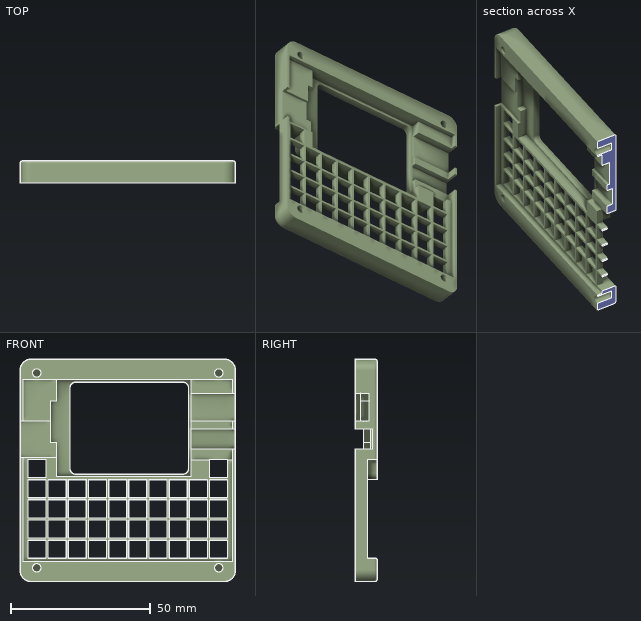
import cadquery as cq


WIDTH = 77.4
DEPTH = 8.0
HEIGHT = 80.0
CORNER_RADIUS = 4.0
REAR_FILLET = 1.0
SIDE_WALL = 1.0
HALF_WIDTH = WIDTH / 2
INNER_X = HALF_WIDTH - SIDE_WALL

RECESS_TOP = 32.65
RECESS_DEPTH = 2.0

SCREW_DIAMETER = 3.0
SCREW_X = 32.7
SCREW_Z = 35.0
SCREW_DEPTH = 6.0

KEY_SIZE = 6.4
KEY_PITCH = 7.25
KEY_COLUMNS = 10
FULL_KEY_ROWS = 4
KEYS_LEFT = -(KEY_SIZE + (KEY_COLUMNS - 1) * KEY_PITCH) / 2
KEYS_BOTTOM = -31.53
KEYS_TOP = KEYS_BOTTOM + FULL_KEY_ROWS * KEY_PITCH + KEY_SIZE

PLATE_BACK = 4.5
SURROUND_HALF_WIDTH = 29.0
SURROUND_BOTTOM = -3.3
SURROUND_RADIUS = 2.0
LIP_RADIUS = 0.75

DISPLAY_LEFT = -25.6
DISPLAY_RIGHT = 22.7
DISPLAY_BOTTOM = -2.2
DISPLAY_DEPTH = 5.5
CABLE_NOTCH_LEFT = -27.75
CABLE_NOTCH_BOTTOM = 10.0
CABLE_NOTCH_TOP = 25.0
WINDOW_LEFT = -20.7
WINDOW_BOTTOM = -1.35
WINDOW_WIDTH = 42.5
WINDOW_HEIGHT = 33.0
WINDOW_RADIUS = 2.0

LEFT_PORT_BOTTOM = 4.55
LEFT_PORT_TOP = 17.7
LEFT_PORT_DEPTH = 3.0

UPPER_PORT_BOTTOM = 17.7
UPPER_PORT_TOP = 27.65
UPPER_PORT_DEPTH = 5.0
LOWER_PORT_BOTTOM = 7.7
LOWER_PORT_TOP = 14.8
LOWER_PORT_DEPTH = 6.3
SHELF_BOTTOM = 3.65
SHELF_DEPTH = 4.0


def block(x_range, y_range, z_range):
    """Box between the given limits along each axis."""
    x0, x1 = x_range
    y0, y1 = y_range
    z0, z1 = z_range
    return cq.Workplane("XY").box(x1 - x0, y1 - y0, z1 - z0, centered=False).translate((x0, y0, z0))


def front_pocket(x_range, z_range, depth):
    """Box that cuts from the front face to the given depth."""
    return block(x_range, (0, depth), z_range)


def outer_shell():
    """Plain block with rounded corners and a rounded rear rim."""
    shell = cq.Workplane("XY").box(WIDTH, DEPTH, HEIGHT).translate((0, DEPTH / 2, 0))
    return shell.edges("|Y").fillet(CORNER_RADIUS).faces(">Y").fillet(REAR_FILLET)


def rear_key_pocket():
    """Full-width pocket in the rear, less the round-cornered display surround."""
    rear = (PLATE_BACK, DEPTH)
    pocket = block((-HALF_WIDTH, HALF_WIDTH), rear, (KEYS_BOTTOM, KEYS_TOP))
    surround = block((-SURROUND_HALF_WIDTH, SURROUND_HALF_WIDTH), rear, (SURROUND_BOTTOM, KEYS_TOP))
    return pocket.cut(surround.faces("<Z").edges("|Y").fillet(SURROUND_RADIUS))


def lip_sliver():
    """Material removed to round the rear edge of the pocket's lower wall."""
    lip = (DEPTH - LIP_RADIUS, DEPTH)
    corner = block((-HALF_WIDTH, HALF_WIDTH), lip, (KEYS_BOTTOM - LIP_RADIUS, KEYS_BOTTOM))
    rod = (
        cq.Workplane("YZ", origin=(-HALF_WIDTH, DEPTH - LIP_RADIUS, KEYS_BOTTOM - LIP_RADIUS))
        .circle(LIP_RADIUS)
        .extrude(WIDTH)
    )
    return corner.cut(rod)


def display_opening():
    """Pocket and cable notch open to the front, with the window cut on through the rear."""
    pocket = front_pocket((DISPLAY_LEFT, DISPLAY_RIGHT), (DISPLAY_BOTTOM, RECESS_TOP), DISPLAY_DEPTH)
    notch = front_pocket(
        (CABLE_NOTCH_LEFT, DISPLAY_LEFT), (CABLE_NOTCH_BOTTOM, CABLE_NOTCH_TOP), DISPLAY_DEPTH
    )
    window = block(
        (WINDOW_LEFT, WINDOW_LEFT + WINDOW_WIDTH),
        (0, DEPTH),
        (WINDOW_BOTTOM, WINDOW_BOTTOM + WINDOW_HEIGHT),
    )
    return pocket.union(notch).union(window.edges("|Y").fillet(WINDOW_RADIUS))


def left_port():
    """Cut from the display pocket out through the left wall."""
    return front_pocket((-HALF_WIDTH, DISPLAY_LEFT), (LEFT_PORT_BOTTOM, LEFT_PORT_TOP), LEFT_PORT_DEPTH)


def right_ports():
    """Two cuts out through the right wall, and the shelf pocket that stops inside it."""
    to_outside = (DISPLAY_RIGHT, HALF_WIDTH)
    upper = front_pocket(to_outside, (UPPER_PORT_BOTTOM, UPPER_PORT_TOP), UPPER_PORT_DEPTH)
    lower = front_pocket(to_outside, (LOWER_PORT_BOTTOM, LOWER_PORT_TOP), LOWER_PORT_DEPTH)
    shelf = front_pocket((DISPLAY_RIGHT, INNER_X), (SHELF_BOTTOM, UPPER_PORT_BOTTOM), SHELF_DEPTH)
    return upper.union(lower).union(shelf)


def key_openings():
    """Four full rows of keys, with a single key at each end of the top row."""
    keys = cq.Workplane("XY")
    for row in range(FULL_KEY_ROWS + 1):
        is_full_row = row < FULL_KEY_ROWS
        columns = range(KEY_COLUMNS) if is_full_row else (0, KEY_COLUMNS - 1)
        z = KEYS_BOTTOM + row * KEY_PITCH
        for column in columns:
            x = KEYS_LEFT + column * KEY_PITCH
            keys = keys.add(block((x, x + KEY_SIZE), (0, PLATE_BACK), (z, z + KEY_SIZE)))
    return keys.combine()


def screw_holes():
    """Blind holes sunk into the four corners from the front face."""
    return (
        cq.Workplane("XZ")
        .rect(2 * SCREW_X, 2 * SCREW_Z, forConstruction=True)
        .vertices()
        .circle(SCREW_DIAMETER / 2)
        .extrude(-SCREW_DEPTH)
    )


result = (
    outer_shell()
    .cut(front_pocket((-INNER_X, INNER_X), (-RECESS_TOP, RECESS_TOP), RECESS_DEPTH))
    .cut(rear_key_pocket())
    .cut(lip_sliver())
    .cut(display_opening())
    .cut(left_port())
    .cut(right_ports())
    .cut(key_openings())
    .cut(screw_holes())
)